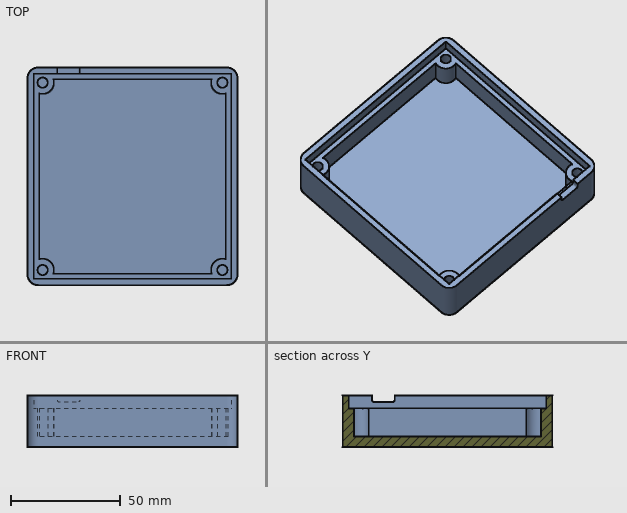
import cadquery as cq

length_x = 95.6
length_y = 99.1
height = 23.6
corner_radius = 5.0

wall = 3.0
ledge_width = 2.4
recess_depth = 5.9
floor_thickness = 5.0
ledge_z = height - recess_depth
cavity_depth = ledge_z - floor_thickness

boss_radius = 5.2
hole_diameter = 4.7
boss_inset = 6.9

notch_left_offset = 13.6
notch_width = 10.2
notch_depth = 3.0
notch_fillet = 0.9


def pocket(inset, bottom_z, depth):
    """Square-cornered block, inset equally from all four outer sides."""
    return (
        cq.Workplane("XY")
        .workplane(offset=bottom_z)
        .rect(length_x - 2 * inset, length_y - 2 * inset)
        .extrude(depth)
    )


def corner_cylinders(radius):
    """Four cylinders from the cavity floor to the ledge, at the boss positions."""
    return (
        cq.Workplane("XY")
        .workplane(offset=floor_thickness)
        .rect(length_x - 2 * boss_inset, length_y - 2 * boss_inset, forConstruction=True)
        .vertices()
        .circle(radius)
        .extrude(cavity_depth)
    )


def cable_notch():
    """Block with rounded lower edges that opens the rim across the +Y wall."""
    center_x = -length_x / 2 + notch_left_offset + notch_width / 2
    return (
        cq.Workplane("XY")
        .box(notch_width, wall, notch_depth)
        .edges("|Y and <Z")
        .fillet(notch_fillet)
        .translate((center_x, (length_y - wall) / 2, height - notch_depth / 2))
    )


body = cq.Workplane("XY").rect(length_x, length_y).extrude(height)
body = body.edges("|Z").fillet(corner_radius)

recess = pocket(wall, ledge_z, recess_depth)
cavity = pocket(wall + ledge_width, floor_thickness, cavity_depth)
cavity = cavity.cut(corner_cylinders(boss_radius))

result = (
    body.cut(recess)
    .cut(cavity)
    .cut(corner_cylinders(hole_diameter / 2))
    .cut(cable_notch())
)